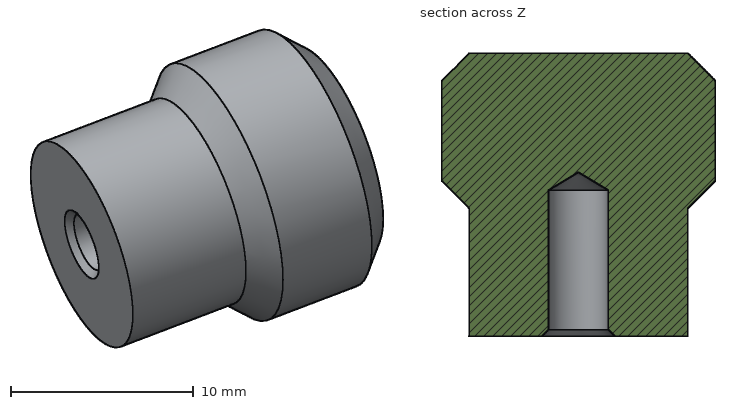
import cadquery as cq
import math

head_diameter = 15.0
shank_diameter = 12.0
total_length = 15.5
shank_length = 7.0

hole_diameter = 3.25
hole_mouth_diameter = 4.0
hole_depth = 8.0
drill_point_angle = 118.0

head_radius = head_diameter / 2
shank_radius = shank_diameter / 2
head_bevel = head_radius - shank_radius

hole_radius = hole_diameter / 2
hole_mouth_radius = hole_mouth_diameter / 2
hole_mouth_bevel = hole_mouth_radius - hole_radius
drill_point_length = hole_radius / math.tan(math.radians(drill_point_angle / 2))


def revolve_about_y(profile_points):
    """Spin a closed (radius, Y) profile a full turn about the Y axis."""
    profile = cq.Workplane("XY").polyline(profile_points).close()
    return profile.revolve(360, (0, 0, 0), (0, 1, 0))


def make_body():
    return revolve_about_y([
        (0, 0),
        (shank_radius, 0),
        (shank_radius, shank_length),
        (head_radius, shank_length + head_bevel),
        (head_radius, total_length - head_bevel),
        (shank_radius, total_length),
        (0, total_length),
    ])


def make_hole():
    """Drilled hole with a 45 degree mouth bevel and a conical bottom."""
    return revolve_about_y([
        (0, 0),
        (hole_mouth_radius, 0),
        (hole_radius, hole_mouth_bevel),
        (hole_radius, hole_depth),
        (0, hole_depth + drill_point_length),
    ])


result = make_body().cut(make_hole())